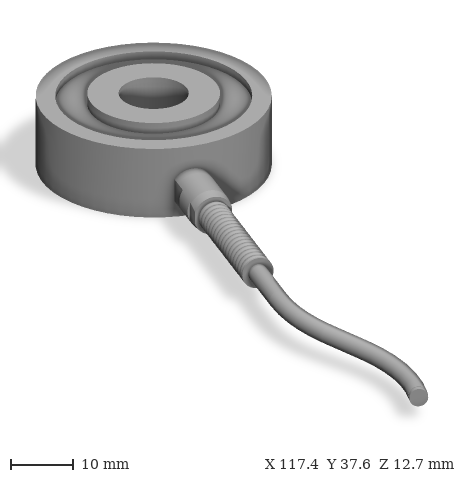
import cadquery as cq
import math

body_diameter = 37.6
body_height = 12.2
recess_diameter = 31.4
recess_depth = 1.4
hub_diameter = 21.2
hub_rise = 0.5
bore_diameter = 11.2

outlet_height = 4.7

collar_diameter = 7.0
collar_end_diameter = 6.6
collar_end = 29.0
collar_taper_length = 2.0
inner_flat_end = 22.6
inner_flat_width = 5.9
outer_flat_length = 2.5
outer_flat_width = 6.2

relief_diameter = 5.3
relief_groove_diameter = 4.8
relief_ring_pitch = 1.2
relief_ring_count = 18
relief_end_band_length = 0.4

cable_diameter = 3.2
tip_diameter = 3.0
tip_length = 0.8
first_bend_start = 60.6
first_bend_radius = 25.4
first_bend_angle = 31.3
middle_length = 7.5
second_bend_radius = 24.3
second_bend_angle = 42.5
cable_plane_tilt = -6.3

collar_start = (bore_diameter + body_diameter) / 4


def make_body():
    body = cq.Workplane("XY").circle(body_diameter / 2).extrude(body_height)
    recess_floor = body_height - recess_depth
    recess = cq.Workplane("XY", origin=(0, 0, recess_floor)).circle(recess_diameter / 2).extrude(recess_depth)
    hub = cq.Workplane("XY").circle(hub_diameter / 2).extrude(body_height + hub_rise)
    return body.cut(recess).union(hub)


def cut_bore(part):
    bore = cq.Workplane("XY").circle(bore_diameter / 2).extrude(body_height + hub_rise)
    return part.cut(bore)


def outlet_profile():
    """Sketch plane whose local origin lies on the outlet axis."""
    return cq.Workplane("XZ", origin=(0, 0, outlet_height))


def revolve_about_outlet(profile):
    return profile.close().revolve(360, (0, 0, 0), (1, 0, 0))


def collar_flats(start, end, width):
    """Pair of blocks that cut parallel flats on the +Y and -Y sides of the collar."""
    depth = (collar_diameter - width) / 2
    offset = (width + depth) / 2
    return (
        cq.Workplane("XY", origin=((start + end) / 2, 0, outlet_height))
        .pushPoints([(0, -offset), (0, offset)])
        .box(end - start, depth, collar_diameter)
    )


def make_collar():
    profile = (
        outlet_profile()
        .moveTo(collar_start, 0)
        .lineTo(collar_start, collar_diameter / 2)
        .lineTo(collar_end - collar_taper_length, collar_diameter / 2)
        .lineTo(collar_end, collar_end_diameter / 2)
        .lineTo(collar_end, 0)
    )
    collar = revolve_about_outlet(profile)
    inner_flats = collar_flats(collar_start, inner_flat_end, inner_flat_width)
    outer_flats = collar_flats(collar_end - outer_flat_length, collar_end, outer_flat_width)
    return collar.cut(inner_flats).cut(outer_flats)


def make_strain_relief():
    groove_radius = relief_groove_diameter / 2
    profile = outlet_profile().moveTo(collar_end, 0).lineTo(collar_end, groove_radius)
    for ring in range(relief_ring_count):
        ring_start = collar_end + ring * relief_ring_pitch
        crest = (ring_start + relief_ring_pitch / 2, relief_diameter / 2)
        profile = profile.threePointArc(crest, (ring_start + relief_ring_pitch, groove_radius))
    band_start = collar_end + relief_ring_count * relief_ring_pitch
    band_end = band_start + relief_end_band_length
    profile = profile.lineTo(band_start, relief_diameter / 2).lineTo(band_end, relief_diameter / 2)
    return revolve_about_outlet(profile.lineTo(band_end, 0))


def step_along(point, heading, distance):
    """Point reached from `point` by moving `distance` along `heading` (degrees)."""
    angle = math.radians(heading)
    return (point[0] + distance * math.cos(angle), point[1] + distance * math.sin(angle))


def bend_point(point, heading, radius, turn):
    """Point reached along a tangent arc that turns by `turn` degrees (positive is left)."""
    chord = 2 * radius * math.sin(math.radians(abs(turn)) / 2)
    return step_along(point, heading + turn / 2, chord)


def make_cable():
    bend_1_start = (first_bend_start, 0)
    bend_1_middle = bend_point(bend_1_start, 0, first_bend_radius, first_bend_angle / 2)
    bend_1_end = bend_point(bend_1_start, 0, first_bend_radius, first_bend_angle)
    bend_2_start = step_along(bend_1_end, first_bend_angle, middle_length)
    bend_2_middle = bend_point(bend_2_start, first_bend_angle, second_bend_radius, -second_bend_angle / 2)
    bend_2_end = bend_point(bend_2_start, first_bend_angle, second_bend_radius, -second_bend_angle)
    path = (
        cq.Workplane("XY")
        .moveTo(collar_end, 0)
        .lineTo(*bend_1_start)
        .threePointArc(bend_1_middle, bend_1_end)
        .lineTo(*bend_2_start)
        .threePointArc(bend_2_middle, bend_2_end)
    )
    cable = cq.Workplane("YZ", origin=(collar_end, 0, 0)).circle(cable_diameter / 2).sweep(path)

    tip_heading = first_bend_angle - second_bend_angle
    tip_direction = step_along((0, 0), tip_heading, 1)
    tip_plane = cq.Plane(origin=(*bend_2_end, 0), xDir=(0, 0, 1), normal=(*tip_direction, 0))
    tip = cq.Workplane(tip_plane).circle(tip_diameter / 2).extrude(tip_length)

    flat_cable = cable.union(tip)
    return flat_cable.rotate((0, 0, 0), (1, 0, 0), cable_plane_tilt).translate((0, 0, outlet_height))


result = cut_bore(make_body().union(make_collar())).union(make_strain_relief()).union(make_cable())